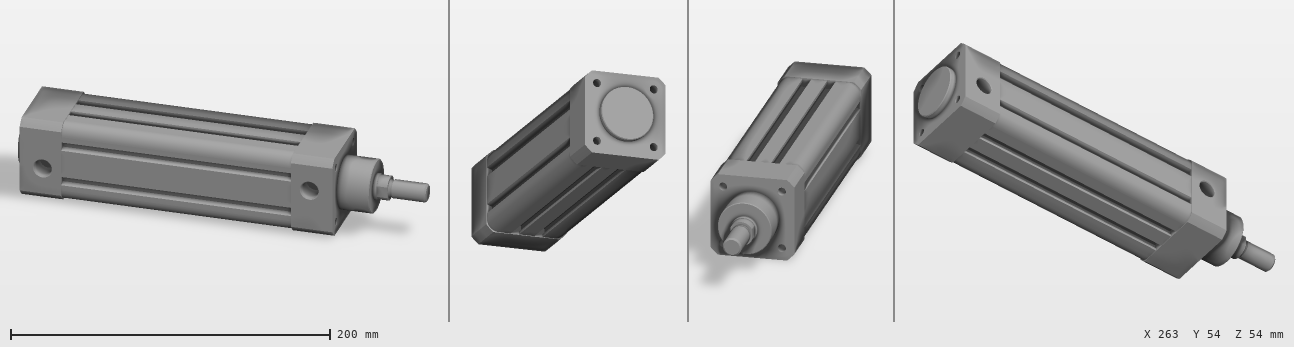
import cadquery as cq

TOTAL_LENGTH = 263.0
SPIGOT_LENGTH = 4.2
CAP_LENGTH = 27.0
BARREL_LENGTH = 150.2
NECK_LENGTH = 20.8

REAR_CAP_START = SPIGOT_LENGTH
BARREL_START = REAR_CAP_START + CAP_LENGTH
FRONT_CAP_START = BARREL_START + BARREL_LENGTH
FRONT_CAP_END = FRONT_CAP_START + CAP_LENGTH
NECK_END = FRONT_CAP_END + NECK_LENGTH

CAP_SIZE = 54.0
CAP_TURNED_DIAMETER = 70.0
SPIGOT_DIAMETER = 34.7
SPIGOT_CHAMFER = 0.5
SCREW_SPACING = 38.0
SCREW_DIAMETER = 5.3
SCREW_DEPTH = 13.2
PORT_DIAMETER = 12.5
PORT_DEPTH = 13.2
PORT_CHAMFER = 0.5
PORT_CHAMFER_ANGLE = 45.0
PORT_FROM_BARREL = 12.0
PORT_OFFSET = 4.7
SEAL_DIAMETER = 17.0
SEAL_LENGTH = 2.4
SEAL_CHAMFER = 0.5

BARREL_SIZE = 53.0
BARREL_CORNER_RADIUS = 8.0
T_SLOT_WIDTH = 5.5
T_SLOT_OFFSET = 8.0
T_SLOT_NECK_DEPTH = 1.8
T_SLOT_INNER_WIDTH = 8.2
T_SLOT_DEPTH = 5.5
TAPER_SLOT_OFFSET = 12.0
TAPER_SLOT_WIDTH = 5.8
TAPER_SLOT_FLOOR_WIDTH = 3.2
TAPER_SLOT_DEPTH = 3.5

ROD_DIAMETER = 15.8
FLATS_WIDTH = 14.0
SHOULDER_LENGTH = 9.2
RELIEF_CONE_LENGTH = 1.5
RELIEF_DIAMETER = 10.8
RELIEF_LENGTH = 2.4
THREAD_DIAMETER = 12.0
TIP_CHAMFER = 1.0

SEAL_END = NECK_END + SEAL_LENGTH
SHOULDER_END = NECK_END + SHOULDER_LENGTH
THREAD_START = SHOULDER_END + RELIEF_LENGTH


def axial_cylinder(start, length, diameter):
    """Cylinder along X beginning at the given position."""
    return cq.Workplane("YZ", origin=(start, 0, 0)).circle(diameter / 2).extrude(length)


def cap_block(start, outer_face, outward, port_height):
    """Square block with corners turned to a common diameter.

    Four screw holes enter the outer face and one chamfered port enters the -Y side.
    """
    block = (
        cq.Workplane("YZ", origin=(start, 0, 0))
        .rect(CAP_SIZE, CAP_SIZE)
        .extrude(CAP_LENGTH)
        .intersect(axial_cylinder(start, CAP_LENGTH, CAP_TURNED_DIAMETER))
    )
    screw_holes = (
        cq.Workplane("YZ", origin=(outer_face, 0, 0))
        .rect(SCREW_SPACING, SCREW_SPACING, forConstruction=True)
        .vertices()
        .circle(SCREW_DIAMETER / 2)
        .extrude(-outward * SCREW_DEPTH)
    )
    barrel_face = outer_face - outward * CAP_LENGTH
    port_x = barrel_face + outward * PORT_FROM_BARREL
    port = (
        cq.Workplane("XZ", origin=(port_x, -CAP_SIZE / 2, port_height))
        .circle(PORT_DIAMETER / 2 - PORT_CHAMFER)
        .extrude(-PORT_DEPTH)
    )
    port_countersink = (
        cq.Workplane("XZ", origin=(port_x, -CAP_SIZE / 2, port_height))
        .circle(PORT_DIAMETER / 2)
        .extrude(-PORT_CHAMFER, taper=PORT_CHAMFER_ANGLE)
    )
    return block.cut(screw_holes).cut(port).cut(port_countersink)


def make_rear_cap():
    """Rear cap with a short centring spigot."""
    spigot = axial_cylinder(0, SPIGOT_LENGTH, SPIGOT_DIAMETER).faces("<X").chamfer(SPIGOT_CHAMFER)
    return cap_block(REAR_CAP_START, REAR_CAP_START, -1, -PORT_OFFSET).union(spigot)


def make_front_cap():
    """Front cap with guide neck, rod seal lip and a through bore for the rod."""
    neck = (
        axial_cylinder(FRONT_CAP_END, NECK_LENGTH, SPIGOT_DIAMETER)
        .faces(">X")
        .chamfer(SPIGOT_CHAMFER)
    )
    seal_lip = axial_cylinder(NECK_END, SEAL_LENGTH, SEAL_DIAMETER).faces(">X").chamfer(SEAL_CHAMFER)
    cap = cap_block(FRONT_CAP_START, FRONT_CAP_END, 1, PORT_OFFSET).union(neck).union(seal_lip)
    bore = axial_cylinder(FRONT_CAP_START, SEAL_END - FRONT_CAP_START, ROD_DIAMETER)
    return cap.cut(bore)


def barrel_prism(points):
    """Extrude a closed Y-Z outline along the whole barrel."""
    return cq.Workplane("YZ", origin=(BARREL_START, 0, 0)).polyline(points).close().extrude(BARREL_LENGTH)


def t_slot():
    """T-shaped slot cutter in the +Z face."""
    top = BARREL_SIZE / 2
    neck_floor = top - T_SLOT_NECK_DEPTH
    floor = top - T_SLOT_DEPTH
    left = T_SLOT_OFFSET - T_SLOT_WIDTH / 2
    right = T_SLOT_OFFSET + T_SLOT_WIDTH / 2
    inner_left = T_SLOT_OFFSET - T_SLOT_INNER_WIDTH / 2
    inner_right = T_SLOT_OFFSET + T_SLOT_INNER_WIDTH / 2
    return barrel_prism([
        (left, top), (left, neck_floor), (inner_left, neck_floor), (inner_left, floor),
        (inner_right, floor), (inner_right, neck_floor), (right, neck_floor), (right, top),
    ])


def tapered_slot():
    """Slot cutter with sloping flanks in the -Y face."""
    face = -BARREL_SIZE / 2
    floor = face + TAPER_SLOT_DEPTH
    return barrel_prism([
        (face, TAPER_SLOT_OFFSET - TAPER_SLOT_WIDTH / 2),
        (floor, TAPER_SLOT_OFFSET - TAPER_SLOT_FLOOR_WIDTH / 2),
        (floor, TAPER_SLOT_OFFSET + TAPER_SLOT_FLOOR_WIDTH / 2),
        (face, TAPER_SLOT_OFFSET + TAPER_SLOT_WIDTH / 2),
    ])


def make_barrel():
    """Rounded square profile: two T-slots in each of +Z and -Z, two tapered slots in each of +Y and -Y."""
    barrel = (
        cq.Workplane("YZ", origin=(BARREL_START, 0, 0))
        .rect(BARREL_SIZE, BARREL_SIZE)
        .extrude(BARREL_LENGTH)
        .edges("|X")
        .fillet(BARREL_CORNER_RADIUS)
    )
    for slot in (t_slot(), tapered_slot()):
        for copy in (slot, slot.mirror("XZ"), slot.mirror("XY"), slot.mirror("XZ").mirror("XY")):
            barrel = barrel.cut(copy)
    return barrel


def make_rod():
    """Piston rod with wrench flats, thread relief and a chamfered threaded end."""
    rod_radius = ROD_DIAMETER / 2
    relief_radius = RELIEF_DIAMETER / 2
    thread_radius = THREAD_DIAMETER / 2
    half_outline = [
        (FRONT_CAP_START, 0),
        (FRONT_CAP_START, rod_radius),
        (SHOULDER_END, rod_radius),
        (SHOULDER_END, thread_radius),
        (SHOULDER_END + RELIEF_CONE_LENGTH, relief_radius),
        (THREAD_START, relief_radius),
        (THREAD_START, thread_radius),
        (TOTAL_LENGTH - TIP_CHAMFER, thread_radius),
        (TOTAL_LENGTH, thread_radius - TIP_CHAMFER),
        (TOTAL_LENGTH, 0),
    ]
    rod = cq.Workplane("XY").polyline(half_outline).close().revolve(360, (0, 0, 0), (1, 0, 0))
    flats_length = SHOULDER_END - SEAL_END
    for side in (-1, 1):
        flat = cq.Workplane("XY").box(flats_length, ROD_DIAMETER, ROD_DIAMETER).translate(
            (SEAL_END + flats_length / 2, side * (FLATS_WIDTH + ROD_DIAMETER) / 2, 0)
        )
        rod = rod.cut(flat)
    return rod


rear_cap = make_rear_cap()
barrel = make_barrel()
front_cap = make_front_cap()
rod = make_rod()

result = cq.Compound.makeCompound([rear_cap.val(), barrel.val(), front_cap.val(), rod.val()])